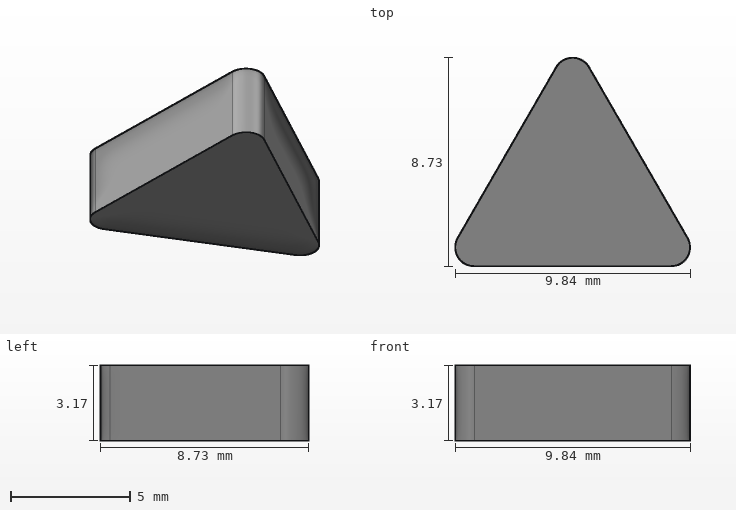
import cadquery as cq
import math

inscribed_diameter = 6.35
thickness = 3.175
corner_radius = 0.79375

triangle_sides = 3
inscribed_radius = inscribed_diameter / 2
half_side = inscribed_radius * math.tan(math.pi / triangle_sides)
apex_height = 2 * inscribed_radius


def rounded_triangle_prism():
    """Prism centred on its inscribed circle, with one flat facing -Y."""
    sharp_corners = [
        (-half_side, -inscribed_radius),
        (half_side, -inscribed_radius),
        (0, apex_height),
    ]
    prism = cq.Workplane("XY").polyline(sharp_corners).close().extrude(thickness)
    return prism.edges("|Z").fillet(corner_radius)


result = rounded_triangle_prism()